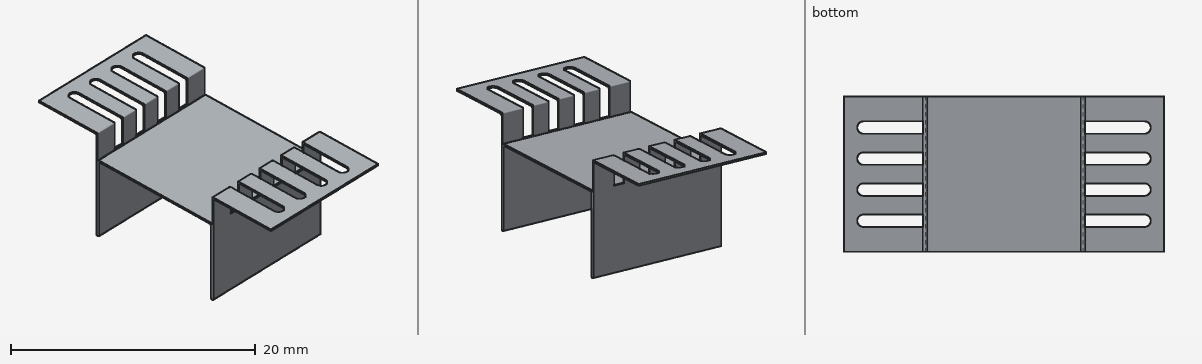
import cadquery as cq

length = 26.15
width = 12.7
height = 10.35

sheet = 0.167
outer_radius = 0.1
inner_radius = 0.15
foot_radius = 0.15
leg_x = 6.62
floor_depth = 2.67

slot_count = 4
slot_pitch = 2.55
slot_width = 1.0
slot_margin = 1.1

top_z = height / 2
bottom_z = -height / 2
floor_z = top_z - floor_depth
seam_x = leg_x - sheet
leg_inner_x = seam_x - sheet


def outer_layer():
    """Flange bent down into the outer layer of the +X leg."""
    profile = (
        cq.Workplane("XZ", origin=(0, width / 2, 0))
        .moveTo(length / 2, top_z)
        .lineTo(seam_x + outer_radius, top_z)
        .radiusArc((seam_x, top_z - outer_radius), -outer_radius)
        .lineTo(seam_x, bottom_z)
        .lineTo(leg_x - foot_radius, bottom_z)
        .radiusArc((leg_x, bottom_z + foot_radius), -foot_radius)
        .lineTo(leg_x, top_z - sheet - inner_radius)
        .radiusArc((leg_x + inner_radius, top_z - sheet), inner_radius)
        .lineTo(length / 2, top_z - sheet)
        .close()
    )
    return profile.extrude(width)


def inner_layer():
    """Half of the floor bent down into the inner layer of the +X leg."""
    profile = (
        cq.Workplane("XZ", origin=(0, width / 2, 0))
        .moveTo(0, floor_z)
        .lineTo(seam_x - outer_radius, floor_z)
        .radiusArc((seam_x, floor_z - outer_radius), outer_radius)
        .lineTo(seam_x, bottom_z)
        .lineTo(leg_inner_x + foot_radius, bottom_z)
        .radiusArc((leg_inner_x, bottom_z + foot_radius), foot_radius)
        .lineTo(leg_inner_x, floor_z - sheet - inner_radius)
        .radiusArc((leg_inner_x - inner_radius, floor_z - sheet), -inner_radius)
        .lineTo(0, floor_z - sheet)
        .close()
    )
    return profile.extrude(width)


def slot_cutter(slot_y):
    """Slot with a round outer end, open through the wall down to the floor."""
    round_x = length / 2 - slot_margin - slot_width / 2
    straight_length = round_x - seam_x
    straight = (
        cq.Workplane("XY", origin=(seam_x + straight_length / 2, slot_y, floor_z))
        .rect(straight_length, slot_width)
        .extrude(floor_depth)
    )
    round_end = (
        cq.Workplane("XY", origin=(round_x, slot_y, floor_z))
        .circle(slot_width / 2)
        .extrude(floor_depth)
    )
    return straight.union(round_end)


half = outer_layer().union(inner_layer())
for index in range(slot_count):
    half = half.cut(slot_cutter((index - (slot_count - 1) / 2) * slot_pitch))

result = half.union(half.mirror("YZ")).clean()